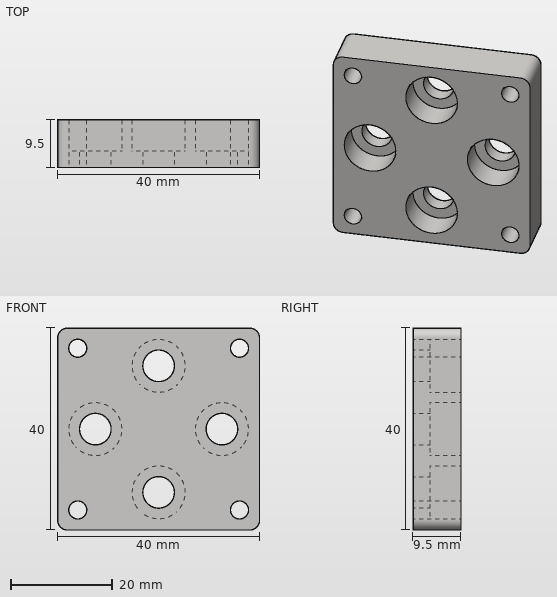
import cadquery as cq

side = 40.0
thickness = 9.5
corner_radius = 2.0

corner_hole_diameter = 3.5
corner_hole_spacing = 32.0

port_diameter = 6.2
port_circle_radius = 12.5
port_count = 4

counterbore_diameter = 10.5
counterbore_depth = 6.2

plate = (
    cq.Workplane("XZ")
    .rect(side, side)
    .extrude(thickness / 2, both=True)
    .edges("|Y")
    .fillet(corner_radius)
)

corner_holes = (
    cq.Workplane("XZ")
    .rect(corner_hole_spacing, corner_hole_spacing, forConstruction=True)
    .vertices()
    .circle(corner_hole_diameter / 2)
    .extrude(thickness, both=True)
)

ports = (
    cq.Workplane("XZ")
    .polarArray(port_circle_radius, 0, 360, port_count)
    .circle(port_diameter / 2)
    .extrude(thickness, both=True)
)

counterbores = (
    cq.Workplane("XZ", origin=(0, thickness / 2, 0))
    .polarArray(port_circle_radius, 0, 360, port_count)
    .circle(counterbore_diameter / 2)
    .extrude(counterbore_depth)
)

result = plate.cut(corner_holes).cut(ports).cut(counterbores)